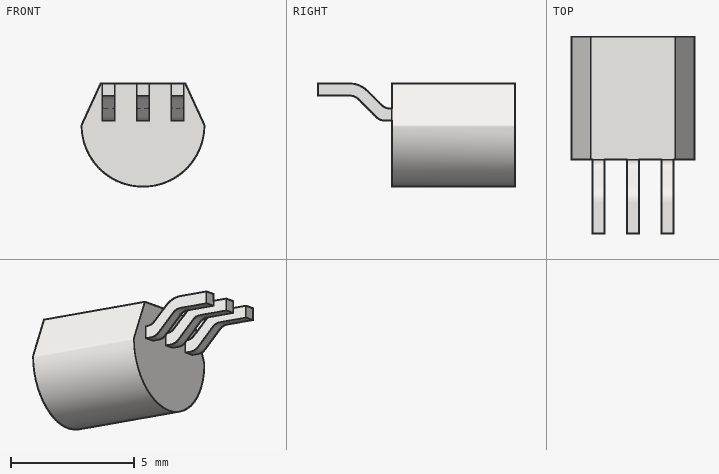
import cadquery as cq
import math

body_diameter = 5.0
body_height = 4.2
body_length = body_diameter
body_radius = body_diameter / 2
flat_height = body_height - body_radius
flat_width = 3.44
shoulder_radius = 0.25

lead_count = 3
lead_pitch = 1.4
large_bend_radius = 1.0
small_bend_radius = large_bend_radius / 2
lead_thickness = large_bend_radius - small_bend_radius
lead_length = 3.0
lead_rise = 1.02
bend_angle = math.radians(45)
first_bend_distance = 0.28


def make_body():
    body = (
        cq.Workplane("XZ")
        .moveTo(-flat_width / 2, flat_height)
        .lineTo(flat_width / 2, flat_height)
        .lineTo(body_radius, 0)
        .threePointArc((0, -body_radius), (-body_radius, 0))
        .close()
        .extrude(-body_length)
    )
    for side in (-1, 1):
        shoulder = cq.selectors.NearestToPointSelector((side * body_radius, body_length / 2, 0))
        body = body.edges(shoulder).fillet(shoulder_radius)
    return body


def round_bend(lead, y, z, radius):
    """Round the edge along X that passes through (y, z)."""
    return lead.edges(cq.selectors.NearestToPointSelector((0, y, z))).fillet(radius)


def make_lead(x):
    tip_top = flat_height
    tip_bottom = tip_top - lead_thickness
    root_top = tip_top - lead_rise
    root_bottom = root_top - lead_thickness

    miter_shift = lead_thickness * math.tan(bend_angle / 2)
    slope_run = lead_rise / math.tan(bend_angle)
    first_top_y = -first_bend_distance
    first_bottom_y = first_top_y - miter_shift
    second_top_y = first_top_y - slope_run
    second_bottom_y = first_bottom_y - slope_run

    lead = (
        cq.Workplane("YZ")
        .polyline([
            (0, root_top),
            (first_top_y, root_top),
            (second_top_y, tip_top),
            (-lead_length, tip_top),
            (-lead_length, tip_bottom),
            (second_bottom_y, tip_bottom),
            (first_bottom_y, root_bottom),
            (0, root_bottom),
        ])
        .close()
        .extrude(lead_thickness / 2, both=True)
    )
    lead = round_bend(lead, first_top_y, root_top, small_bend_radius)
    lead = round_bend(lead, first_bottom_y, root_bottom, small_bend_radius)
    lead = round_bend(lead, second_top_y, tip_top, large_bend_radius)
    lead = round_bend(lead, second_bottom_y, tip_bottom, small_bend_radius)
    return lead.translate((x, 0, 0))


body = make_body()
leads = []
for index in range(lead_count):
    lead_x = (index - (lead_count - 1) / 2) * lead_pitch
    leads.append(make_lead(lead_x))

result = cq.Compound.makeCompound([body.val(), *[lead.val() for lead in leads]])